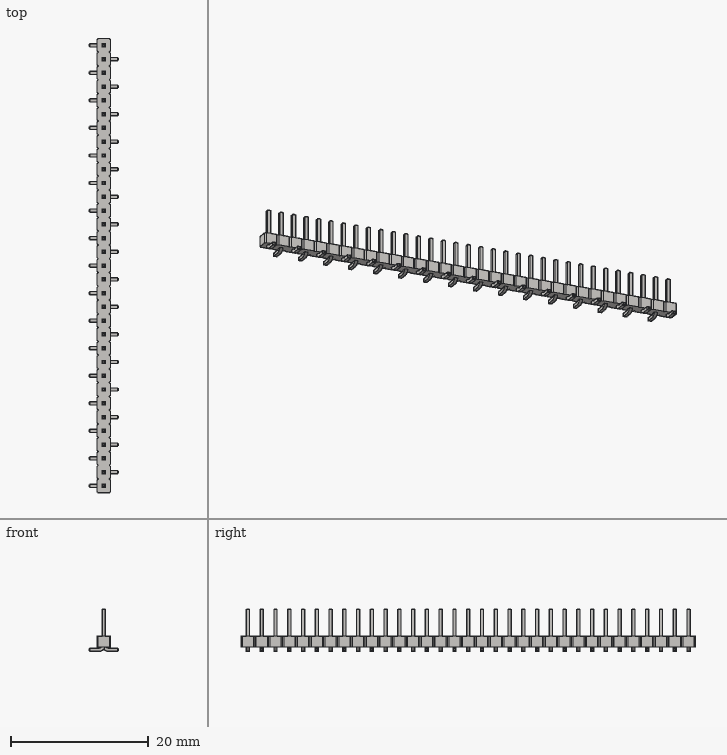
import cadquery as cq

pin_count = 33
row_length = 66.0
pitch = row_length / pin_count
total_height = 6.2
foot_span = 4.2

body_width = pitch
body_bottom = 0.63
body_height = 1.6
body_chamfer = 0.2

wire = 0.5
bend_inner_radius = 0.45
tip_length = 0.1
tip_width = 0.23

bend_outer_radius = bend_inner_radius + wire
bend_center_x = -wire / 2 - bend_inner_radius
shoulder_z = total_height - tip_length
foot_shoulder_x = -foot_span / 2 + tip_length


def make_body_segment():
    """One pitch of the body; its cut corners leave V notches between neighbours."""
    return (
        cq.Workplane("XY")
        .workplane(offset=body_bottom)
        .rect(body_width, pitch)
        .extrude(body_height)
        .edges("|Z")
        .chamfer(body_chamfer)
    )


def make_tip(base_plane):
    """Blunt pyramid on the end of the wire, pointing along the plane normal."""
    return (
        cq.Workplane(base_plane)
        .rect(wire, wire)
        .workplane(offset=tip_length)
        .rect(tip_width, tip_width)
        .loft(ruled=True)
    )


def make_pin():
    """Vertical pin on the Z axis whose foot rests on Z = 0 and points toward -X."""
    bent_wire = (
        cq.Workplane("XZ")
        .moveTo(wire / 2, shoulder_z)
        .lineTo(wire / 2, bend_outer_radius)
        .radiusArc((bend_center_x, 0), bend_outer_radius)
        .lineTo(foot_shoulder_x, 0)
        .lineTo(foot_shoulder_x, wire)
        .lineTo(bend_center_x, wire)
        .radiusArc((-wire / 2, bend_outer_radius), -bend_inner_radius)
        .lineTo(-wire / 2, shoulder_z)
        .close()
        .extrude(wire / 2, both=True)
    )
    pin_end = cq.Plane(origin=(0, 0, shoulder_z))
    foot_end = cq.Plane(origin=(foot_shoulder_x, 0, wire / 2), xDir=(0, 1, 0), normal=(-1, 0, 0))
    return bent_wire.union(make_tip(pin_end)).union(make_tip(foot_end))


left_cell = make_body_segment().union(make_pin())
right_cell = left_cell.rotate((0, 0, 0), (0, 0, 1), 180)

cells = []
for index in range(pin_count):
    cell = left_cell if index % 2 == 0 else right_cell
    center_y = (index + 0.5) * pitch - row_length / 2
    cells.append(cell.val().translate(cq.Vector(0, center_y, 0)))

result = cq.Workplane(cells[0].fuse(*cells[1:])).clean()